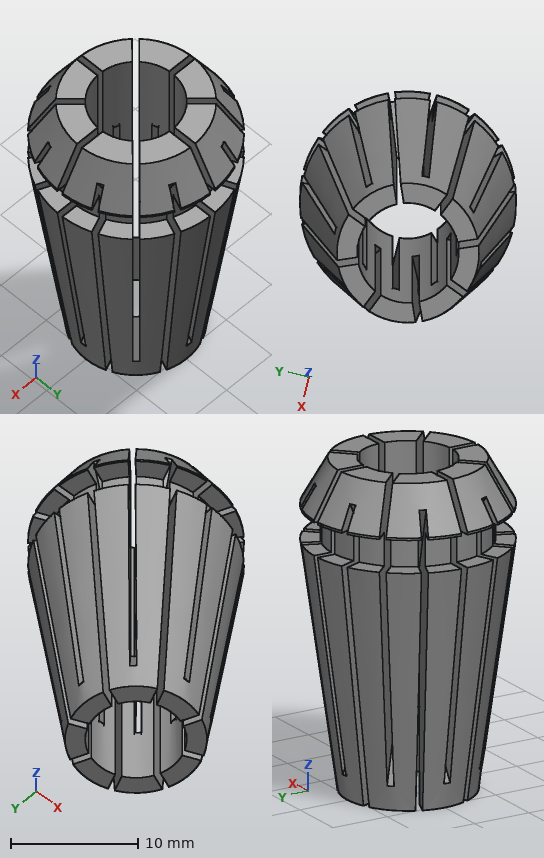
import cadquery as cq
import math

total_height = 27.5
outer_radius = 8.5
bore_radius = 4.0

body_height = 20.75
body_taper = 8.0
body_bottom_radius = outer_radius - body_height * math.tan(math.radians(body_taper))

groove_radius = 6.9
groove_width = 2.75

head_bottom = body_height + groove_width
head_taper = 30.0
rim_height = 0.2
rim_top = head_bottom + rim_height
head_top_radius = outer_radius - (total_height - rim_top) * math.tan(math.radians(head_taper))

slot_count = 8
slot_pitch = 360.0 / slot_count
slot_width = 0.55
slot_end_slope = 60.0
top_slot_end = 2.12
bottom_slot_end = 25.63
clearance = 1.38


def make_blank():
    """Revolved collet with its groove and through bore."""
    profile = [
        (bore_radius, 0),
        (body_bottom_radius, 0),
        (outer_radius, body_height),
        (groove_radius, body_height),
        (groove_radius, head_bottom),
        (outer_radius, head_bottom),
        (outer_radius, rim_top),
        (head_top_radius, total_height),
        (bore_radius, total_height),
    ]
    return cq.Workplane("XZ").polyline(profile).close().revolve(360, (0, 0), (0, 1))


def make_slot_cutter(exit_radius, exit_height, open_height, end_rise):
    """Radial slot along +X from open_height to a sloped end through the exit point.

    end_rise is the height change of the slot end per unit of radius.
    """
    inner = bore_radius - clearance
    outer = outer_radius + clearance

    def end_height(radius):
        return exit_height + end_rise * (radius - exit_radius)

    outline = [
        (inner, open_height),
        (outer, open_height),
        (outer, end_height(outer)),
        (inner, end_height(inner)),
    ]
    return cq.Workplane("XZ").polyline(outline).close().extrude(slot_width / 2, both=True)


def cut_slots(body, cutter, first_angle):
    """Cut one set of evenly spaced slots around the axis."""
    for index in range(slot_count):
        angle = first_angle + index * slot_pitch
        body = body.cut(cutter.rotate((0, 0, 0), (0, 0, 1), angle))
    return body


end_slope = math.tan(math.radians(slot_end_slope))
top_slot_exit_radius = body_bottom_radius + top_slot_end * math.tan(math.radians(body_taper))
bottom_slot_exit_radius = (
    head_top_radius + (total_height - bottom_slot_end) * math.tan(math.radians(head_taper))
)

top_slot = make_slot_cutter(
    top_slot_exit_radius, top_slot_end, total_height + clearance, -end_slope
)
bottom_slot = make_slot_cutter(
    bottom_slot_exit_radius, bottom_slot_end, -clearance, end_slope
)

result = make_blank()
result = cut_slots(result, top_slot, 0)
result = cut_slots(result, bottom_slot, slot_pitch / 2)